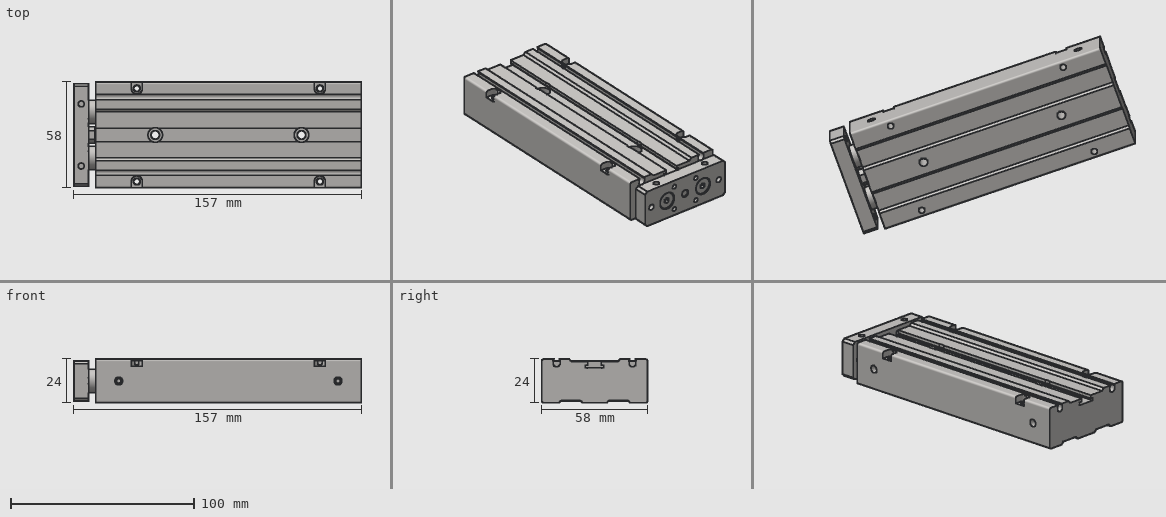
import cadquery as cq
import math

total_length = 157.0
housing_width = 58.0
housing_height = 24.0
housing_front = 12.0
housing_length = total_length - housing_front
half_width = housing_width / 2
half_height = housing_height / 2
corner_radius = 1.3

channel_depth = 1.4
channel_slope_run = 1.4
top_channel_half_width = 14.0
bottom_channel_inner = 6.6
bottom_channel_outer = 19.5
center_slot_width = 7.2
center_slot_lip_depth = 3.3
center_slot_base_width = 10.0
center_slot_depth = 4.9
sensor_groove_y = 20.7
sensor_groove_width = 3.8
sensor_groove_opening = 2.8
sensor_groove_lip_depth = 1.0
sensor_groove_wall_depth = 2.4

center_hole_xs = (44.5, 124.3)
center_hole_diameter = 4.5
center_counterbore_diameter = 8.0
center_counterbore_depth = 9.4
corner_hole_xs = (34.4, 134.4)
corner_hole_y = 25.5
corner_hole_diameter = 3.3
corner_countersink_diameter = 3.8
corner_pocket_width = 6.1
corner_pocket_depth = 4.0
port_xs = (24.5, 144.3)
port_diameter = 4.2
port_depth = 5.0
port_passage_diameter = 2.5
port_passage_depth = 7.8

plate_thickness = 8.0
plate_width = 56.0
plate_height = 22.0
plate_chamfer = 1.49
small_hole_diameter = 2.5
small_hole_y = 7.5
small_hole_z = 7.0
mount_hole_diameter = 3.3
side_hole_y = 23.5
top_hole_y = 17.0
top_hole_depth = 6.3

guide_rod_diameter = 13.0
guide_rod_y = 12.5
guide_recess_diameter = 10.0
rod_socket_across_flats = 2.8
rod_socket_depth = 2.5
piston_recess_diameter = 4.5
recess_depth = 0.4
piston_rod_diameter = 5.0
nut_across_flats = 8.0
nut_end = 11.5


def cylinder(diameter, length, start, direction):
    """Solid cylinder of the given length, running from start along direction."""
    return cq.Workplane(cq.Solid.makeCylinder(diameter / 2, length, cq.Vector(*start), cq.Vector(*direction)))


def cone(start_radius, end_radius, start, direction):
    """Solid cone frustum narrowing at 45 degrees from start along direction."""
    length = start_radius - end_radius
    return cq.Workplane(
        cq.Solid.makeCone(start_radius, end_radius, length, cq.Vector(*start), cq.Vector(*direction))
    )


def lengthwise_channel(inner_y, outer_y, surface_z, floor_z):
    """Trapezoidal channel along the housing, widest at surface_z, with sloping sides."""
    return (
        cq.Workplane("YZ", origin=(housing_front, 0, 0))
        .polyline([
            (inner_y, surface_z),
            (outer_y, surface_z),
            (outer_y - channel_slope_run, floor_z),
            (inner_y + channel_slope_run, floor_z),
        ])
        .close()
        .extrude(housing_length)
    )


def sensor_groove(side):
    """Groove that flares below its narrow opening, then runs straight down to a round bottom."""
    half_opening = sensor_groove_opening / 2
    radius = sensor_groove_width / 2
    wall_end = -sensor_groove_wall_depth
    return (
        cq.Workplane("YZ", origin=(housing_front, side * sensor_groove_y, half_height))
        .moveTo(-half_opening, 0)
        .lineTo(-radius, -sensor_groove_lip_depth)
        .lineTo(-radius, wall_end)
        .threePointArc((0, wall_end - radius), (radius, wall_end))
        .lineTo(radius, -sensor_groove_lip_depth)
        .lineTo(half_opening, 0)
        .close()
        .extrude(housing_length)
    )


def center_slot():
    """T-shaped slot along the center line of the top face."""
    floor = cq.Workplane("XY", origin=(housing_front, 0, half_height - center_slot_depth))
    neck = floor.box(housing_length, center_slot_width, center_slot_depth, centered=(False, True, False))
    base_height = center_slot_depth - center_slot_lip_depth
    base = floor.box(housing_length, center_slot_base_width, base_height, centered=(False, True, False))
    return neck.union(base)


def center_hole(x):
    """Through hole on the center line, counterbored from the top."""
    hole = cylinder(center_hole_diameter, housing_height, (x, 0, -half_height), (0, 0, 1))
    counterbore = cylinder(
        center_counterbore_diameter, center_counterbore_depth, (x, 0, half_height), (0, 0, -1)
    )
    return hole.union(counterbore)


def corner_hole(x, side):
    """Countersunk through hole in a round-ended pocket that opens to the outer side."""
    y = side * corner_hole_y
    pocket_floor = half_height - corner_pocket_depth
    hole = cylinder(corner_hole_diameter, housing_height, (x, y, -half_height), (0, 0, 1))
    round_end = cylinder(corner_pocket_width, corner_pocket_depth, (x, y, pocket_floor), (0, 0, 1))
    open_length = half_width - corner_hole_y
    open_side = (
        cq.Workplane("XY", origin=(x, side * (corner_hole_y + open_length / 2), pocket_floor))
        .box(corner_pocket_width, open_length, corner_pocket_depth, centered=(True, True, False))
    )
    top_radius = corner_countersink_diameter / 2
    bottom_radius = corner_hole_diameter / 2
    countersink = cone(top_radius, bottom_radius, (x, y, pocket_floor), (0, 0, -1))
    return hole.union(round_end).union(open_side).union(countersink)


def port(x):
    """Stepped air port entering from the -Y side."""
    mouth = cylinder(port_diameter, port_depth, (x, -half_width, 0), (0, 1, 0))
    passage = cylinder(port_passage_diameter, port_passage_depth, (x, -half_width, 0), (0, 1, 0))
    return mouth.union(passage)


def make_housing():
    """Extruded housing with its channels, slots, mounting holes and ports."""
    body = (
        cq.Workplane("XY", origin=(housing_front, 0, 0))
        .box(housing_length, housing_width, housing_height, centered=(False, True, True))
        .edges("|X")
        .fillet(corner_radius)
    )
    top_floor = half_height - channel_depth
    bottom_floor = -half_height + channel_depth
    body = body.cut(
        lengthwise_channel(-top_channel_half_width, top_channel_half_width, half_height, top_floor)
    )
    body = body.cut(center_slot())
    bottom_spans = (
        (bottom_channel_inner, bottom_channel_outer),
        (-bottom_channel_outer, -bottom_channel_inner),
    )
    for inner_y, outer_y in bottom_spans:
        body = body.cut(lengthwise_channel(inner_y, outer_y, -half_height, bottom_floor))
    for side in (-1, 1):
        body = body.cut(sensor_groove(side))
        for x in corner_hole_xs:
            body = body.cut(corner_hole(x, side))
    for x in center_hole_xs:
        body = body.cut(center_hole(x))
    for x in port_xs:
        body = body.cut(port(x))
    return body


def conical_recess(y, diameter):
    """Shallow 45-degree recess in the front face of the plate."""
    radius = diameter / 2
    floor_radius = radius - recess_depth
    return cone(radius, floor_radius, (0, y, 0), (1, 0, 0))


def hexagon_prism(across_flats, length):
    """Hexagonal prism along +X from the origin, with two corners pointing along Y."""
    across_corners = across_flats / math.cos(math.pi / 6)
    return cq.Workplane("YZ").polygon(6, across_corners).extrude(length)


def make_plate_and_rods():
    """Front plate carrying the guide rods, the piston rod and its lock nut."""
    body = (
        cq.Workplane("XY")
        .box(plate_thickness, plate_width, plate_height, centered=(False, True, True))
        .edges("|X")
        .chamfer(plate_chamfer)
    )
    rod_length = housing_front - plate_thickness
    for side in (-1, 1):
        rod_start = (plate_thickness, side * guide_rod_y, 0)
        body = body.union(cylinder(guide_rod_diameter, rod_length, rod_start, (1, 0, 0)))
    body = body.union(cylinder(piston_rod_diameter, rod_length, (plate_thickness, 0, 0), (1, 0, 0)))
    nut = hexagon_prism(nut_across_flats, nut_end - plate_thickness).translate((plate_thickness, 0, 0))
    body = body.union(nut)

    body = body.cut(conical_recess(0, piston_recess_diameter))
    for side in (-1, 1):
        rod_y = side * guide_rod_y
        body = body.cut(conical_recess(rod_y, guide_recess_diameter))
        socket = hexagon_prism(rod_socket_across_flats, rod_socket_depth)
        body = body.cut(socket.rotate((0, 0, 0), (1, 0, 0), 90).translate((0, rod_y, 0)))
        body = body.cut(
            cylinder(mount_hole_diameter, plate_thickness, (0, side * side_hole_y, 0), (1, 0, 0))
        )
        top_hole_start = (plate_thickness / 2, side * top_hole_y, plate_height / 2)
        body = body.cut(cylinder(mount_hole_diameter, top_hole_depth, top_hole_start, (0, 0, -1)))
        for z in (-small_hole_z, small_hole_z):
            small_hole_start = (0, side * small_hole_y, z)
            body = body.cut(cylinder(small_hole_diameter, plate_thickness, small_hole_start, (1, 0, 0)))
    return body


housing = make_housing()
plate_and_rods = make_plate_and_rods()

result = cq.Compound.makeCompound([housing.val(), plate_and_rods.val()])